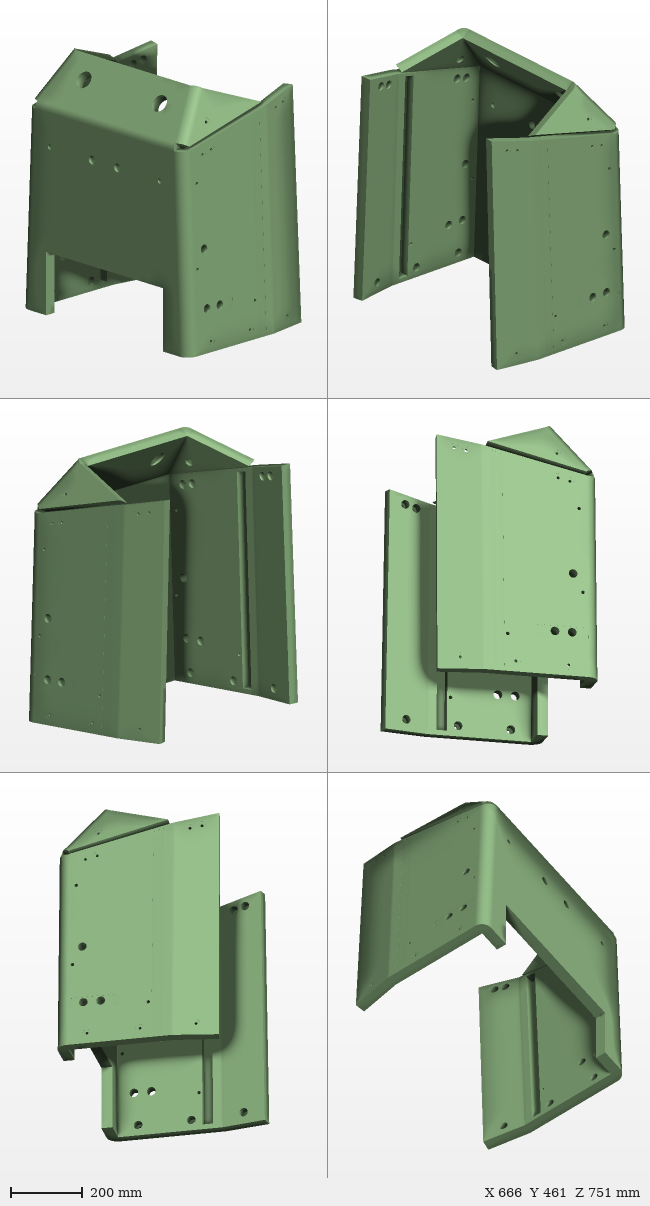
import cadquery as cq
import math

thickness = 31.5
bend_radius = 32.0
inner_radius = bend_radius - thickness
fold_radius = 40.0

width = 666.0
depth = 461.0
height = 751.0
lean_angle = 2.5
fold_y = 332.0
wing_angle = 10.0
front_height = 595.0
wall_top_slope = 12.6
flap_slope = 13.4
hood_angle = 38.0
flap_angle = 22.5
flap_end_y = 314.0
weld_overlap = 1.0
notch_half_width = 232.0
notch_height = 185.0

front_hole_z = 494.0
front_holes = [(50.0, 25.0), (218.5, 15.0)]
panel_hole_x = 150.0
panel_hole_rise = 96.0
panel_hole_diameter = 51.0

socket_diameter = 25.0
pin_diameter = 8.0
wall_sockets = [(113.5, 580.5), (79.5, 573.0), (241.0, 31.0), (89.0, 31.0)]
wing_sockets = [(408.5, 650.0), (375.5, 643.0), (398.0, 34.5)]
flap_socket = (112.0, 658.0)
wall_holes = [(73.5, 302.0), (128.0, 128.5), (78.0, 128.5)]
wall_hole_diameter = 25.0
small_holes = [(54.0, 495.0), (46.0, 248.5), (263.5, 110.5)]
small_hole_diameter = 10.0
slot_front, slot_rear = 273.0, 303.0
slot_bottom, slot_top = 14.0, 639.0
recess_rear = 178.0
recess_bottom, recess_top = 110.0, 144.0
mark_depth = 0.4
pocket_depth = 26.0

clearance = 7.5
big = 1126.0

base_half_width = width / 2
lean = math.radians(lean_angle)
slope = math.radians(wall_top_slope)
flap_rise = math.radians(flap_slope)
tilt = math.radians(hood_angle)
wing_turn = math.radians(wing_angle)


def lean_in(body):
    """Moves a wall built upright at x = 0 to its leaning place on the +X side."""
    leaning = body.rotate((0, 0, 0), (0, 1, 0), -lean_angle)
    return leaning.translate((base_half_width, 0, thickness * math.sin(lean)))


def disc(plane, point, diameter, start, end):
    """Cylinder on a plane, between two depths below it."""
    work = cq.Workplane(plane).workplane(offset=-start)
    return work.center(*point).circle(diameter / 2).extrude(start - end)


def cut_through(body, plane, point, diameter):
    """Drills a round hole through the sheet whose outer face lies on a plane."""
    return body.cut(disc(plane, point, diameter, -clearance, thickness + clearance))


def cut_sunk_outline(body, outline):
    """Cuts an outline(start, end) as a shallow outer mark and a deep inner pocket."""
    body = body.cut(outline(-clearance, mark_depth))
    return body.cut(outline(thickness - pocket_depth, thickness + clearance))


def cut_socket(body, plane, point):
    """Cuts a round socket with a pin hole through its thin floor."""
    body = cut_sunk_outline(body, lambda start, end: disc(plane, point, socket_diameter, start, end))
    return cut_through(body, plane, point, pin_diameter)


wing_length = (depth - fold_y) / math.cos(wing_turn)
wing_reach = wing_length + clearance
wing_sin, wing_cos = math.sin(wing_turn), math.cos(wing_turn)
inner_fold_y = fold_y - thickness * math.tan(wing_turn / 2)
outer_tip = (-wing_reach * wing_sin, fold_y + wing_reach * wing_cos)
inner_tip = (outer_tip[0] - thickness * wing_cos, outer_tip[1] - thickness * wing_sin)
front_reach = base_half_width + clearance


def upright_bend(body, x, y, radius):
    """Rounds the upright edge nearest to (x, y)."""
    return body.edges("|Z").edges(cq.selectors.NearestToPointSelector((x, y, big / 2))).fillet(radius)


wall = (
    cq.Workplane("XY")
    .polyline([
        (-front_reach, 0), (0, 0), (0, fold_y), outer_tip,
        inner_tip, (-thickness, inner_fold_y), (-thickness, thickness), (-front_reach, thickness),
    ])
    .close()
    .extrude(big)
)
wall = upright_bend(wall, 0, 0, bend_radius)
wall = upright_bend(wall, -thickness, thickness, inner_radius)
wall = upright_bend(wall, 0, fold_y, fold_radius)
wall = upright_bend(wall, -thickness, inner_fold_y, fold_radius - thickness)

above_wall = (
    cq.Workplane("YZ")
    .polyline([
        (bend_radius, front_height),
        (bend_radius + big, front_height + big * math.tan(slope)),
        (bend_radius + big, 2 * big),
        (bend_radius, 2 * big),
    ])
    .close()
    .extrude(big, both=True)
)
wall = wall.cut(above_wall)

wall_plane = cq.Plane(origin=(0, 0, 0), xDir=(0, 1, 0), normal=(1, 0, 0))
wing_plane = cq.Plane(
    origin=(0, fold_y, 0), xDir=(-wing_sin, wing_cos, 0), normal=(wing_cos, wing_sin, 0)
)


def slot(start, end):
    """Upright slot between two depths, its top parallel to the wall's top edge."""
    rear_top = slot_top + (slot_rear - slot_front) * math.tan(slope)
    return (
        cq.Workplane(wall_plane)
        .workplane(offset=-start)
        .polyline([
            (slot_front, slot_bottom), (slot_rear, slot_bottom),
            (slot_rear, rear_top), (slot_front, slot_top),
        ])
        .close()
        .extrude(start - end)
    )


wall = cut_sunk_outline(wall, slot)
recess = cq.Workplane("XY").box(
    mark_depth, recess_rear - bend_radius, recess_top - recess_bottom, centered=False
)
wall = wall.cut(recess.translate((-mark_depth, bend_radius, recess_bottom)))

for hole in wall_holes:
    wall = cut_through(wall, wall_plane, hole, wall_hole_diameter)
for hole in small_holes:
    wall = cut_through(wall, wall_plane, hole, small_hole_diameter)
for socket in wall_sockets:
    wall = cut_socket(wall, wall_plane, socket)
for y, z in wing_sockets:
    wall = cut_socket(wall, wing_plane, ((y - fold_y) / wing_cos, z))

half = lean_in(wall)
half = half.intersect(cq.Workplane("XY").box(big, big, big, centered=(False, True, False)))
front_top = cq.Workplane("XY").box(big, bend_radius + clearance, big, centered=False)
half = half.cut(front_top.translate((0, -clearance, front_height)))
rear_plane = cq.Plane(
    origin=(base_half_width - wing_length * wing_sin, depth, 0),
    xDir=(wing_cos, wing_sin, 0),
    normal=(-wing_sin, wing_cos, 0),
)
half = half.cut(cq.Workplane(rear_plane).rect(2 * big, 2 * big).extrude(big))

wall_out = cq.Vector(math.cos(lean), 0, math.sin(lean))
wall_up = cq.Vector(-math.sin(lean), 0, math.cos(lean))
edge_along = cq.Vector(0, 1, 0) * math.cos(flap_rise) + wall_up * math.sin(flap_rise)
edge_up = wall_up * math.cos(flap_rise) - cq.Vector(0, 1, 0) * math.sin(flap_rise)
turn = math.radians(flap_angle)
flap_out = wall_out * math.cos(turn) + edge_up * math.sin(turn)
flap_up = edge_up * math.cos(turn) - wall_out * math.sin(turn)
panel_out = cq.Vector(0, -math.cos(tilt), math.sin(tilt))
panel_up = cq.Vector(0, math.sin(tilt), math.cos(tilt))
corner_along = panel_out.cross(flap_out).normalized()

wall_base = cq.Vector(base_half_width, 0, thickness * math.sin(lean))
hinge = wall_base - wall_out * thickness + wall_up * front_height + cq.Vector(0, bend_radius, 0)
flap_origin = hinge + flap_out * thickness

panel_y = bend_radius * (1 - math.cos(tilt))
panel_z = front_height + bend_radius * math.sin(tilt)
middle_axis = cq.Vector(0, panel_y, panel_z) - panel_out * bend_radius
axis_gap = (flap_origin - middle_axis).dot(flap_out) - bend_radius
panel_half_width = axis_gap / flap_out.x
corner_axis = middle_axis + cq.Vector(panel_half_width, 0, 0)
crest_rise = bend_radius * math.hypot(corner_along.x, corner_along.y)
corner_length = (height - corner_axis.z - crest_rise) / corner_along.z
panel_length = corner_length * corner_along.dot(panel_up)

bend = (
    cq.Workplane("XY", origin=(0, thickness / 2, front_height))
    .rect(2 * panel_half_width, thickness)
    .revolve(
        hood_angle,
        (0, bend_radius - thickness / 2, 0),
        (-1, bend_radius - thickness / 2, 0),
    )
)

panel_plane = cq.Plane(origin=(0, panel_y, panel_z), xDir=(1, 0, 0), normal=panel_out.toTuple())
panel_top_half_width = panel_half_width + corner_length * corner_along.x
panel = (
    cq.Workplane(panel_plane)
    .polyline([
        (-panel_half_width, 0), (panel_half_width, 0),
        (panel_top_half_width, panel_length), (-panel_top_half_width, panel_length),
    ])
    .close()
    .extrude(-thickness)
)
for side in (-1, 1):
    center = (side * panel_hole_x, panel_hole_rise)
    panel = cut_through(panel, panel_plane, center, panel_hole_diameter)

corner_turn = panel_out.getAngle(flap_out)
corner_plane = cq.Plane(
    origin=corner_axis.toTuple(), xDir=panel_out.toTuple(), normal=corner_along.toTuple()
)


def on_arc(radius, angle):
    """Point of the corner's cross-section, measured from the panel's outward direction."""
    return (radius * math.cos(angle), radius * math.sin(angle))


corner = (
    cq.Workplane(corner_plane)
    .moveTo(inner_radius, 0)
    .lineTo(bend_radius, 0)
    .threePointArc(on_arc(bend_radius, corner_turn / 2), on_arc(bend_radius, corner_turn))
    .lineTo(*on_arc(inner_radius, corner_turn))
    .threePointArc(on_arc(inner_radius, corner_turn / 2), (inner_radius, 0))
    .close()
    .extrude(corner_length)
)

flap_plane = cq.Plane(
    origin=flap_origin.toTuple(), xDir=edge_along.toTuple(), normal=flap_out.toTuple()
)


def on_flap(point):
    """Position of a point within the flap's outer face."""
    offset = point - flap_origin
    return (offset.dot(edge_along), offset.dot(flap_up))


corner_start = corner_axis + flap_out * bend_radius
corner_end = corner_start + corner_along * corner_length
flap_rear = (flap_end_y - flap_origin.y) / edge_along.y
flap = (
    cq.Workplane(flap_plane)
    .polyline([
        on_flap(corner_start), on_flap(corner_end), (flap_rear, 0),
        (flap_rear, -weld_overlap), (on_flap(corner_start)[0], -weld_overlap),
    ])
    .close()
    .extrude(-thickness)
)
socket_y, socket_z = flap_socket
socket_gap = cq.Vector(0, socket_y, socket_z) - flap_origin
socket_x = -socket_gap.dot(flap_out) / flap_out.x
flap = cut_socket(flap, flap_plane, on_flap(cq.Vector(socket_x, socket_y, socket_z)))

half = half.union(flap).union(corner)
result = half.union(half.mirror("YZ")).union(bend).union(panel)

notch = cq.Workplane("XY").box(2 * notch_half_width, big, notch_height, centered=(True, True, False))
front_only = cq.Workplane("XY").box(big, 2 * (thickness + clearance), big)
result = result.cut(notch.intersect(front_only))
front_plane = cq.Plane(origin=(0, 0, 0), xDir=(1, 0, 0), normal=(0, -1, 0))
for offset, diameter in front_holes:
    for side in (-1, 1):
        center = (side * offset, front_hole_z)
        result = cut_through(result, front_plane, center, diameter)